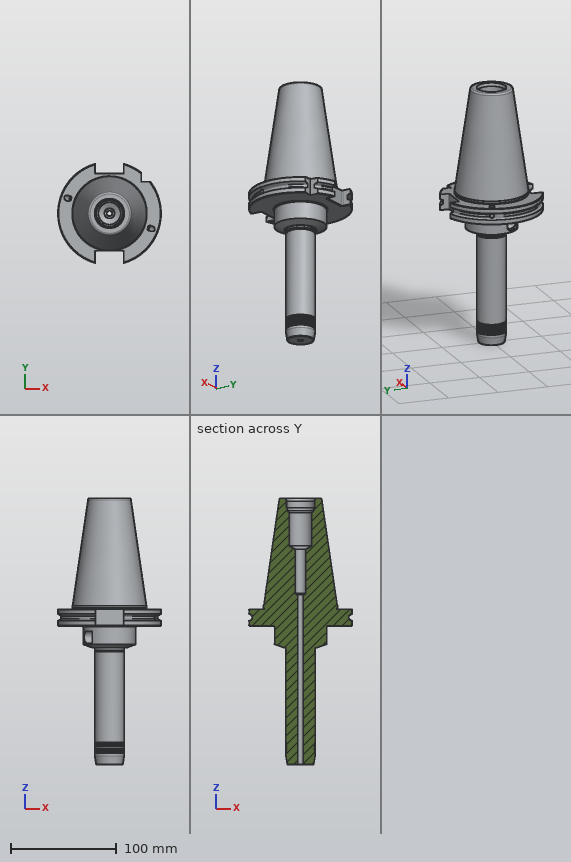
import cadquery as cq
import math


gauge_radius = 69.85 / 2
taper_length = 101.6
taper_slope = 7 / 48
tip_fillet = 1.8
band_radius = 35.35
band_bottom = -1.9
relief_top = -2.7
relief_radius = 34.5

flange_radius = 97.5 / 2
flange_top = -3.2
flange_bottom = -19.1
flange_chamfer = 0.6
groove_center = -11.0
groove_floor_radius = 45.8
groove_half_width = 3.3
groove_half_angle = 30
groove_fillet = 0.7

slot_width = 26.9
slot_corner_fillet = 0.9
slot_floor_chamfer = 0.6
front_slot_floor = 35.3
back_slot_floor = 37.7
notch_offset = 30.0

coolant_circle_radius = 41.9
coolant_angles = (160, -20)
coolant_diameter = 5.2
coolant_tilt = 42
coolant_length = 9.0
set_screw_diameter = 4.0

collar_radius = 24.8
collar_bevel = 0.9
collar_bottom = -36.5
collar_cone_radius = 15.4
collar_cone_bottom = -39.8
stem_bottom = -150.0
stem_radius = 14.0
neck_radius = 13.6
neck_top = -41.8
neck_bottom = -43.4
nose_top = -141.6
nose_radius = 12.7
nose_chamfer = 0.6

ring_count = 4
ring_pitch = 3.0
ring_width = 1.5
ring_depth = 0.7
first_ring_z = -129.5

pocket_y = -12.8
pocket_z = -29.6
pocket_radius = 5.7
pocket_floor_x = -16.3
screw_radius = 5.2
screw_point_angle = 90

mouth_radius = 14.0
mouth_depth = 3.0
pilot_radius = 13.0
pilot_depth = 9.0
seat_radius = 12.4
seat_depth = 12.0
thread_radius = 10.5
thread_top_depth = 13.6
thread_depth = 45.0
feed_radius = 4.8
feed_depth = 90.0
through_radius = 2.5
drill_point_angle = 118


def revolve_profile(points):
    """Revolve a closed (radius, z) outline about the Z axis."""
    return cq.Workplane("XZ").polyline(points).close().revolve(360, (0, 0, 0), (0, 1, 0))


def cone_length(large_radius, small_radius, point_angle):
    """Length of a drill-point cone between two radii."""
    return (large_radius - small_radius) / math.tan(math.radians(point_angle / 2))


def make_shank():
    tip_radius = gauge_radius - taper_slope * taper_length
    shank = revolve_profile([
        (0, taper_length),
        (tip_radius, taper_length),
        (gauge_radius, 0),
        (band_radius, 0),
        (band_radius, band_bottom),
        (relief_radius, relief_top),
        (relief_radius, flange_top),
        (0, flange_top),
    ])
    return shank.faces(">Z").edges().fillet(tip_fillet)


def make_flange():
    height = flange_top - flange_bottom
    flange = cq.Workplane("XY", origin=(0, 0, flange_bottom)).circle(flange_radius).extrude(height)
    flange = flange.edges().chamfer(flange_chamfer)

    flank = (flange_radius - groove_floor_radius) * math.tan(math.radians(groove_half_angle))
    floor_half_width = groove_half_width - flank
    groove = revolve_profile([
        (groove_floor_radius, groove_center + floor_half_width),
        (flange_radius, groove_center + groove_half_width),
        (flange_radius, groove_center - groove_half_width),
        (groove_floor_radius, groove_center - floor_half_width),
    ])
    flange = flange.cut(groove)
    return flange.edges(cq.selectors.RadiusNthSelector(0)).fillet(groove_fillet)


def make_slot(floor_distance, side):
    """Drive slot on the +Y or -Y side, with rounded floor corners and an open mouth."""
    depth = flange_radius - floor_distance
    center_y = side * (floor_distance + depth / 2)
    slot = (
        cq.Workplane("XY", origin=(0, center_y, flange_bottom))
        .rect(slot_width, depth)
        .extrude(flange_top - flange_bottom)
    )
    floor_side = "<Y" if side > 0 else ">Y"
    return slot.faces(floor_side).edges("|Z").fillet(slot_corner_fillet)


def make_notch():
    size = flange_radius - notch_offset
    return (
        cq.Workplane("XY", origin=(notch_offset, notch_offset, flange_bottom))
        .rect(size, size, centered=False)
        .extrude(flange_top - flange_bottom)
    )


def make_coolant_hole(angle):
    """Blind hole leaning inwards from the flange top and the radial set-screw hole meeting it."""
    outward = cq.Vector(math.cos(math.radians(angle)), math.sin(math.radians(angle)), 0)
    tilt = math.radians(coolant_tilt)
    downward = outward * -math.sin(tilt) + cq.Vector(0, 0, -math.cos(tilt))
    mouth = outward * coolant_circle_radius + cq.Vector(0, 0, flange_top)
    radius = coolant_diameter / 2
    overrun = radius * math.tan(tilt)
    coolant = cq.Solid.makeCylinder(
        radius, coolant_length + overrun, mouth - downward * overrun, downward,
    )

    meeting_radius = coolant_circle_radius - (flange_top - groove_center) * math.tan(tilt)
    screw = cq.Solid.makeCylinder(
        set_screw_diameter / 2, flange_radius - meeting_radius,
        outward * meeting_radius + cq.Vector(0, 0, groove_center), outward,
    )
    return cq.Workplane(coolant.fuse(screw))


def make_collar_and_stem():
    nose_rim_radius = nose_radius - nose_chamfer
    body = revolve_profile([
        (0, flange_bottom),
        (collar_radius + collar_bevel, flange_bottom),
        (collar_radius, flange_bottom - collar_bevel),
        (collar_radius, collar_bottom),
        (collar_cone_radius, collar_cone_bottom),
        (stem_radius, collar_cone_bottom),
        (stem_radius, neck_top),
        (neck_radius, neck_top),
        (neck_radius, neck_bottom),
        (stem_radius, neck_bottom),
        (stem_radius, nose_top),
        (nose_radius, stem_bottom + nose_chamfer),
        (nose_rim_radius, stem_bottom),
        (0, stem_bottom),
    ])
    for index in range(ring_count):
        body = body.cut(make_ring(first_ring_z - index * ring_pitch))
    return body


def make_ring(center_z):
    """V-shaped ring groove in the stem surface."""
    return revolve_profile([
        (stem_radius, center_z + ring_width / 2),
        (stem_radius - ring_depth, center_z),
        (stem_radius, center_z - ring_width / 2),
    ])


def make_pocket():
    """U-shaped pocket open towards -X and -Y, with a conical hole in its floor."""
    height = 2 * pocket_radius
    length = pocket_floor_x + collar_radius
    floor = cq.Workplane("YZ", origin=(pocket_floor_x, pocket_y, pocket_z))
    pocket = floor.circle(pocket_radius).extrude(-length)
    side_reach = collar_radius + pocket_y
    side = floor.center(-side_reach / 2, 0).rect(side_reach, height).extrude(-length)

    mouth = cq.Vector(pocket_floor_x, pocket_y, pocket_z)
    inward = cq.Vector(1, 0, 0)
    cone_depth = cone_length(screw_radius, 0, screw_point_angle)
    point = cq.Solid.makeCone(screw_radius, 0, cone_depth, mouth, inward)
    return pocket.union(side).union(cq.Workplane(point))


def make_bore():
    steps = [
        (0, 0),
        (mouth_radius, 0),
        (pilot_radius, mouth_depth),
        (pilot_radius, pilot_depth),
        (seat_radius, pilot_depth),
        (seat_radius, seat_depth),
        (thread_radius, thread_top_depth),
        (thread_radius, thread_depth),
        (feed_radius, thread_depth + cone_length(thread_radius, feed_radius, drill_point_angle)),
        (feed_radius, feed_depth),
        (through_radius, feed_depth + cone_length(feed_radius, through_radius, drill_point_angle)),
        (through_radius, taper_length - stem_bottom),
        (0, taper_length - stem_bottom),
    ]
    return revolve_profile([(radius, taper_length - depth) for radius, depth in steps])


flange = make_flange()
flange = flange.cut(make_slot(front_slot_floor, -1))
flange = flange.cut(make_slot(back_slot_floor, 1))
flange = flange.faces("<Z").edges("|X").chamfer(slot_floor_chamfer)
flange = flange.cut(make_notch())
for hole_angle in coolant_angles:
    flange = flange.cut(make_coolant_hole(hole_angle))

holder = make_shank().union(flange).union(make_collar_and_stem())
holder = holder.cut(make_pocket())
result = holder.cut(make_bore())